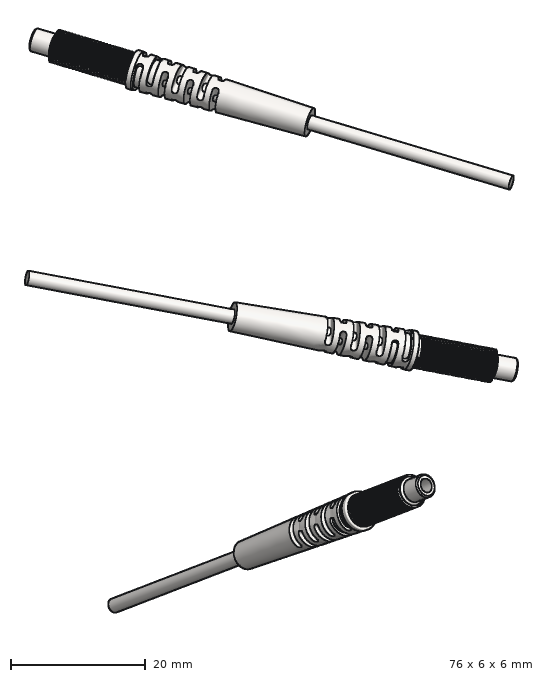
import cadquery as cq

TOTAL_LENGTH = 76.0
NOSE_LENGTH = 3.2
SLEEVE_START = 15.8
STUB_END = 20.45
SLEEVE_END = 44.0

NOSE_DIAMETER = 3.6
NOSE_CHAMFER = 0.2
BORE_DIAMETER = 2.1
BORE_DEPTH = NOSE_LENGTH
THREAD_DIAMETER = 5.0
LEAD_IN_LENGTH = 0.3
STUB_DIAMETER = 4.9

THREAD_PITCH = 0.5
GROOVE_DEPTH = 0.3
GROOVE_MOUTH_WIDTH = 0.34
GROOVE_ROOT_WIDTH = 0.1
ROOT_DIAMETER = THREAD_DIAMETER - 2 * GROOVE_DEPTH
GROOVE_OVERSHOOT = 0.015
THREAD_RUNOUT = 0.2

FLANGE_DIAMETER = 6.0
FLANGE_LENGTH = 0.9
FLANGE_ROUNDING = 0.15
SLEEVE_FRONT_DIAMETER = 5.9
SLEEVE_REAR_DIAMETER = 4.4

SLOT_WIDTH = 1.0
SLOT_FLOOR = 0.75
SLOT_COUNT = 7
FIRST_SLOT_X = 17.5
LAST_SLOT_X = 29.5
SLOT_STEP = (LAST_SLOT_X - FIRST_SLOT_X) / (SLOT_COUNT - 1)

CABLE_DIAMETER = 2.2


def turned(points):
    """Solid of revolution about the X axis from (station, diameter) pairs, front to rear."""
    outline = [(x, diameter / 2) for x, diameter in points]
    first_x, last_x = outline[0][0], outline[-1][0]
    profile = cq.Workplane("XZ").polyline([(first_x, 0), *outline, (last_x, 0)]).close()
    return profile.revolve(360, (0, 0, 0), (1, 0, 0))


def rod(diameter, start, end):
    """Plain cylinder on the X axis between two stations."""
    return turned([(start, diameter), (end, diameter)])


def make_thread_groove():
    """Helical V groove that forms the thread, running along the X axis."""
    start = NOSE_LENGTH + LEAD_IN_LENGTH
    length = SLEEVE_START - THREAD_RUNOUT - start
    root_radius = ROOT_DIAMETER / 2
    mouth_radius = THREAD_DIAMETER / 2 + GROOVE_OVERSHOOT
    root_half = GROOVE_ROOT_WIDTH / 2
    flank_slope = (GROOVE_MOUTH_WIDTH - GROOVE_ROOT_WIDTH) / 2 / GROOVE_DEPTH
    mouth_half = root_half + (mouth_radius - root_radius) * flank_slope
    path = cq.Wire.makeHelix(THREAD_PITCH, length, root_radius)
    groove = (
        cq.Workplane("XZ")
        .polyline(
            [
                (root_radius, -root_half),
                (mouth_radius, -mouth_half),
                (mouth_radius, mouth_half),
                (root_radius, root_half),
            ]
        )
        .close()
        .sweep(cq.Workplane(path), isFrenet=True)
    )
    return groove.rotate((0, 0, 0), (0, 1, 0), 90).translate((start, 0, 0))


def make_housing():
    """Sensor housing: bored nose, threaded barrel and the plain stub inside the sleeve."""
    body = turned(
        [
            (0, NOSE_DIAMETER - 2 * NOSE_CHAMFER),
            (NOSE_CHAMFER, NOSE_DIAMETER),
            (NOSE_LENGTH, NOSE_DIAMETER),
            (NOSE_LENGTH + LEAD_IN_LENGTH, ROOT_DIAMETER),
            (NOSE_LENGTH + LEAD_IN_LENGTH, THREAD_DIAMETER),
            (SLEEVE_START, THREAD_DIAMETER),
            (SLEEVE_START, STUB_DIAMETER),
            (STUB_END, STUB_DIAMETER),
        ]
    )
    bore = rod(BORE_DIAMETER, 0, BORE_DEPTH)
    return body.cut(bore).cut(make_thread_groove())


def make_slot_pair(index):
    """Two opposed round-bottomed slots; even pairs open to the Y sides, odd pairs to the Z sides."""
    round_radius = SLOT_WIDTH / 2
    straight_start = SLOT_FLOOR + round_radius
    reach = FLANGE_DIAMETER / 2
    one_side = (
        cq.Workplane("XY")
        .moveTo(-round_radius, reach)
        .lineTo(-round_radius, straight_start)
        .threePointArc((0, SLOT_FLOOR), (round_radius, straight_start))
        .lineTo(round_radius, reach)
        .close()
        .extrude(reach, both=True)
    )
    pair = one_side.union(one_side.mirror("XZ"))
    if index % 2 == 1:
        pair = pair.rotate((0, 0, 0), (1, 0, 0), 90)
    return pair.translate((FIRST_SLOT_X + index * SLOT_STEP, 0, 0))


def make_sleeve():
    """Tapered strain-relief sleeve with a rounded front flange, fitted over the stub and the cable."""
    taper_start = SLEEVE_START + FLANGE_ROUNDING
    taper = turned([(taper_start, SLEEVE_FRONT_DIAMETER), (SLEEVE_END, SLEEVE_REAR_DIAMETER)])
    flange = rod(FLANGE_DIAMETER, SLEEVE_START, SLEEVE_START + FLANGE_LENGTH)
    flange = flange.faces("<X or >X").edges().fillet(FLANGE_ROUNDING)
    sleeve = taper.union(flange)
    for index in range(SLOT_COUNT):
        sleeve = sleeve.cut(make_slot_pair(index))
    stub_recess = rod(STUB_DIAMETER, SLEEVE_START, STUB_END)
    cable_hole = rod(CABLE_DIAMETER, STUB_END, SLEEVE_END)
    return sleeve.cut(stub_recess).cut(cable_hole)


def make_cable():
    """Round cable from the end of the stub to the rear."""
    return rod(CABLE_DIAMETER, STUB_END, TOTAL_LENGTH)


housing = make_housing()
sleeve = make_sleeve()
cable = make_cable()

result = cq.Compound.makeCompound([housing.val(), sleeve.val(), cable.val()])